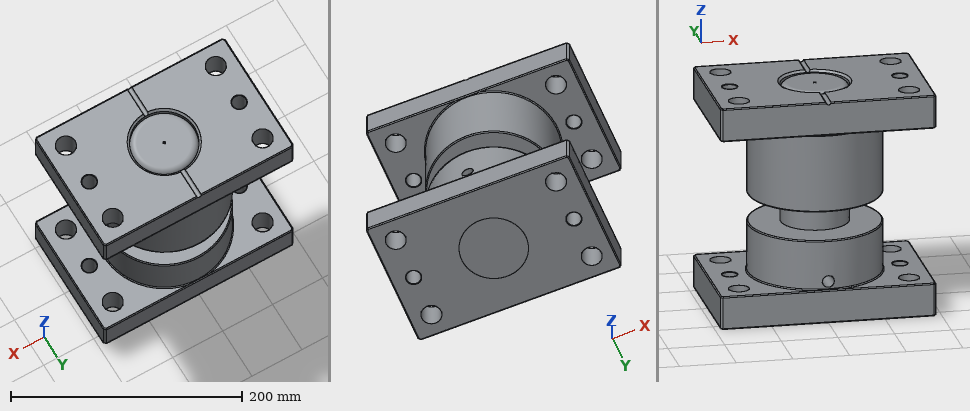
import cadquery as cq

total_height = 201.0

plate_length = 190.0
plate_width = 120.0
plate_thickness = 30.0
plate_corner_chamfer = 2.0
plate_edge_chamfer = 1.0

bolt_hole_diameter = 18.0
hole_pitch_x = 150.1
bolt_pitch_y = 80.0
dowel_hole_diameter = 13.0
dowel_hole_chamfer = 0.5

flat_width = plate_width - 2 * plate_edge_chamfer
boss_diameter = flat_width
lower_boss_height = 45.0
upper_boss_height = 70.1
boss_edge_chamfer = 1.0
boss_root_flare = 1.0

pillar_diameter = 60.0
pillar_top_radius = 6.0
pillar_recess = 1.2
bore_chamfer = 2.0
center_mark_diameter = 2.2
center_mark_depth = 2.0

cross_hole_diameter = 10.5
cross_hole_height = 37.5
groove_radius = 2.2

pillar_length = total_height - pillar_recess


def plate_blank():
    """Plain plate with its corners bevelled, bottom face at Z = 0."""
    return (
        cq.Workplane("XY")
        .box(plate_length, plate_width, plate_thickness, centered=(True, True, False))
        .edges("|Z")
        .chamfer(plate_corner_chamfer)
    )


def boss(height):
    """Boss on the plate face, flared at its root and trimmed to the flat width of that face."""
    radius = boss_diameter / 2
    top = plate_thickness + height
    profile = (
        cq.Workplane("XZ")
        .moveTo(0, plate_thickness)
        .lineTo(radius + boss_root_flare, plate_thickness)
        .lineTo(radius, plate_thickness + boss_root_flare)
        .lineTo(radius, top - boss_edge_chamfer)
        .lineTo(radius - boss_edge_chamfer, top)
        .lineTo(0, top)
        .close()
    )
    trim = cq.Workplane("XY").box(plate_length, flat_width, total_height, centered=(True, True, False))
    return profile.revolve(360, (0, 0, 0), (0, 1, 0)).intersect(trim)


def mounting_holes():
    """Four bolt holes and two dowel holes with bevelled mouths, as one cutter."""
    holes = (
        cq.Workplane("XY")
        .rect(hole_pitch_x, bolt_pitch_y, forConstruction=True)
        .vertices()
        .circle(bolt_hole_diameter / 2)
        .extrude(plate_thickness)
    )
    radius = dowel_hole_diameter / 2
    dowel = (
        cq.Workplane("XZ")
        .lineTo(radius + dowel_hole_chamfer, 0)
        .lineTo(radius, dowel_hole_chamfer)
        .lineTo(radius, plate_thickness - dowel_hole_chamfer)
        .lineTo(radius + dowel_hole_chamfer, plate_thickness)
        .lineTo(0, plate_thickness)
        .close()
        .revolve(360, (0, 0, 0), (0, 1, 0))
    )
    for side in (-1, 1):
        holes = holes.union(dowel.translate((side * hole_pitch_x / 2, 0, 0)))
    return holes


def bossed_plate(boss_height):
    """Plate at Z = 0 with its boss on top, mounting holes and pillar bore."""
    bore = cq.Workplane("XY").circle(pillar_diameter / 2).extrude(total_height)
    return (
        plate_blank()
        .faces("<Z or >Z")
        .edges()
        .chamfer(plate_edge_chamfer)
        .union(boss(boss_height))
        .cut(mounting_holes())
        .cut(bore)
    )


def make_lower_plate():
    """Lower plate with a cross hole running from the front of its boss into the bore."""
    cross_hole = (
        cq.Workplane("XZ", origin=(0, 0, cross_hole_height))
        .circle(cross_hole_diameter / 2)
        .extrude(plate_width / 2)
    )
    return bossed_plate(lower_boss_height).cut(cross_hole)


def make_upper_plate():
    """Upper plate with its boss hanging down, a bevelled bore mouth and two grooves in its top."""
    plate = (
        bossed_plate(upper_boss_height)
        .rotate((0, 0, 0), (1, 0, 0), 180)
        .translate((0, 0, total_height))
    )
    bore_mouth = cq.Workplane("XY").add(
        cq.Solid.makeCone(
            pillar_diameter / 2,
            pillar_diameter / 2 + bore_chamfer,
            bore_chamfer,
            cq.Vector(0, 0, total_height - bore_chamfer),
        )
    )
    groove_plane = cq.Plane(origin=(0, 0, total_height), xDir=(0, 0, 1), normal=(0, -1, 0))
    groove = (
        cq.Workplane(groove_plane)
        .circle(groove_radius)
        .extrude(plate_width / 2, both=True)
    )
    return plate.cut(bore_mouth).cut(groove)


def make_pillar():
    """Guide pillar with a rounded top and a small center mark."""
    return (
        cq.Workplane("XY")
        .circle(pillar_diameter / 2)
        .extrude(pillar_length)
        .faces(">Z")
        .edges()
        .fillet(pillar_top_radius)
        .faces(">Z")
        .workplane()
        .hole(center_mark_diameter, center_mark_depth)
    )


lower_plate = make_lower_plate()
upper_plate = make_upper_plate()
pillar = make_pillar()

result = cq.Compound.makeCompound([lower_plate.val(), upper_plate.val(), pillar.val()])